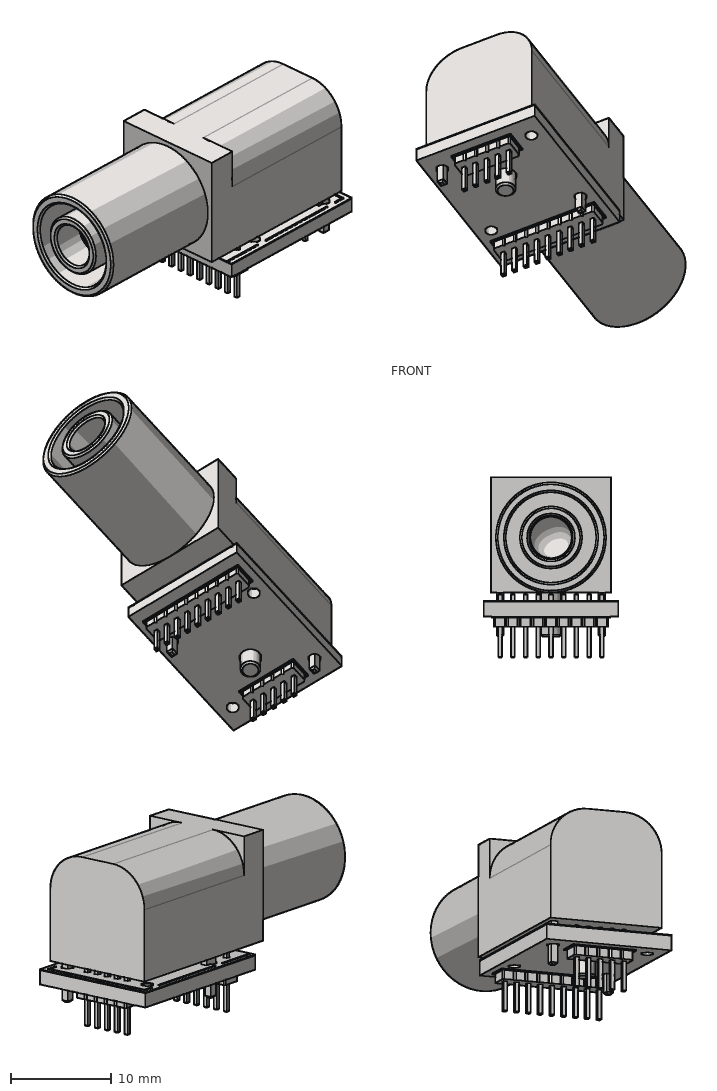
import cadquery as cq


block_width = 12.0
block_depth = 19.0
block_height = 11.5
board_gap = 0.8
flange_depth = 3.05
shoulder_radius = 4.0
block_top = board_gap + block_height
overall_height = 17.97

barrel_diameter = 11.0
barrel_length = 14.0
barrel_tip = -barrel_length
barrel_bore_diameter = 9.0
barrel_bore_depth = 10.1
edge_chamfer = 0.2
barrel_axis_z = board_gap + barrel_diameter / 2

sleeve_diameter = 6.2
sleeve_bore_diameter = 4.4
socket_diameter = 4.1
sleeve_bore_depth = 3.37

board_width = 13.45
board_depth = 17.6
board_thickness = 1.6
board_overhang = 0.75
board_rear = block_depth + board_overhang
board_front = board_rear - board_depth

film_thickness = 0.1
slot_width = 0.15
frame_half_width = 6.17
frame_rear = block_depth + slot_width
frame_gap = 1.15

outline_width = 0.2
outline_height = 0.1

leg_spacing = 10.15
leg_hole_diameter = 1.2
leg_width = 0.7
leg_depth = 0.8
leg_shoulder_depth = 1.5
leg_bottom = -3.6
tip_chamfer = 0.2
rear_leg_inset = 1.62
leg_rear_y = block_depth - rear_leg_inset
leg_front_y = leg_rear_y - leg_spacing
terminal_diameter = 2.0
terminal_hole_diameter = 2.2
terminal_y = 13.5

front_pin_count = 9
rear_pin_count = 5
pitch = leg_spacing / (front_pin_count - 1)
row_pitches = 10
row_spacing = row_pitches * pitch
rear_row_y = leg_rear_y
front_row_y = rear_row_y - row_spacing
pin_width = 0.4
pin_hole_diameter = 0.65
pin_tip_chamfer = 0.1
pin_top = 0.67
pin_bottom = block_top - overall_height
strip_width = 2.12
strip_height = 1.0
strip_chamfer = 0.17


def cylinder_along_y(diameter, front_y, length):
    plane = cq.Plane(origin=(0, front_y, barrel_axis_z), xDir=(1, 0, 0), normal=(0, -1, 0))
    return cq.Workplane(plane).circle(diameter / 2).extrude(-length)


def box_between(x_range, y_range, z_range):
    size = [high - low for low, high in (x_range, y_range, z_range)]
    corner = (x_range[0], y_range[0], z_range[0])
    return cq.Workplane("XY").box(*size, centered=False).translate(corner)


def vertical_cylinder(diameter, x, y, bottom, top):
    return cq.Workplane("XY", origin=(x, y, bottom)).circle(diameter / 2).extrude(top - bottom)


def make_leg(x, y, shoulder_direction):
    """Leg through the board, with a wider shoulder that rests on the board."""
    foot = cq.Workplane("XY", origin=(x, y, leg_bottom)).rect(leg_width, leg_depth).extrude(-leg_bottom)
    foot = foot.faces("<Z").chamfer(tip_chamfer)
    shoulder_y = y + shoulder_direction * (leg_shoulder_depth - leg_depth) / 2
    shoulder = cq.Workplane("XY", origin=(x, shoulder_y, 0)).rect(leg_width, leg_shoulder_depth)
    return foot.union(shoulder.extrude(board_gap))


def make_tube(outer_diameter, bore_diameter, tube_bore_depth):
    """Bored cylinder from the barrel tip to the block, with both rims of the tip chamfered."""
    tube = cylinder_along_y(outer_diameter, barrel_tip, barrel_length).faces("<Y").chamfer(edge_chamfer)
    tube = tube.cut(cylinder_along_y(bore_diameter, barrel_tip, tube_bore_depth))
    mouth_radius = bore_diameter / 2
    mouth = cq.Solid.makeCone(mouth_radius + edge_chamfer, mouth_radius, edge_chamfer,
                              cq.Vector(0, barrel_tip, barrel_axis_z), cq.Vector(0, 1, 0))
    return tube.cut(cq.Workplane(mouth))


def make_barrel():
    barrel = make_tube(barrel_diameter, barrel_bore_diameter, barrel_bore_depth)
    sleeve = make_tube(sleeve_diameter, sleeve_bore_diameter, sleeve_bore_depth)
    socket = cq.Workplane("XY").sphere(socket_diameter / 2).rotate((0, 0, 0), (1, 0, 0), 90)
    sleeve = sleeve.cut(socket.translate((0, barrel_tip + sleeve_bore_depth, barrel_axis_z)))
    return barrel.union(sleeve)


def make_housing():
    half = block_width / 2
    flange = box_between((-half, half), (0, flange_depth), (board_gap, block_top))
    rear = box_between((-half, half), (flange_depth, block_depth), (board_gap, block_top))
    rear = rear.edges("|Y and >Z").fillet(shoulder_radius)
    body = flange.union(rear).union(make_barrel())
    terminal = vertical_cylinder(terminal_diameter, 0, terminal_y, leg_bottom, board_gap)
    body = body.union(terminal.faces("<Z").chamfer(tip_chamfer))
    body = body.union(make_leg(-leg_spacing / 2, leg_front_y, 1))
    return body.union(make_leg(leg_spacing / 2, leg_rear_y, -1))


def row_positions(count, y):
    return [((i - (count - 1) / 2) * pitch, y) for i in range(count)]


def drill_board_holes(plate):
    holes = [(x, y, leg_hole_diameter) for x in (-leg_spacing / 2, leg_spacing / 2)
             for y in (leg_front_y, leg_rear_y)]
    holes.append((0, terminal_y, terminal_hole_diameter))
    for x, y in row_positions(front_pin_count, front_row_y) + row_positions(rear_pin_count, rear_row_y):
        holes.append((x, y, pin_hole_diameter))
    for x, y, diameter in holes:
        plate = plate.cut(vertical_cylinder(diameter, x, y, -board_thickness, 0))
    return plate


def make_board_plate(bottom, top):
    return box_between((-board_width / 2, board_width / 2), (board_front, board_rear), (bottom, top))


def make_header_outline(count, y):
    """Raised rectangular ring that fits around one header strip."""
    strip_length = count * pitch
    ring = cq.Workplane("XY", origin=(0, y, -board_thickness))
    ring = ring.rect(strip_length + 2 * outline_width, strip_width + 2 * outline_width)
    return ring.rect(strip_length, strip_width).extrude(-outline_height)


def make_board():
    board = drill_board_holes(make_board_plate(-board_thickness, -film_thickness))
    board = board.union(make_header_outline(front_pin_count, front_row_y))
    return board.union(make_header_outline(rear_pin_count, rear_row_y))


def make_film():
    film = drill_board_holes(make_board_plate(-film_thickness, 0))
    half = frame_half_width
    depth_range = (-film_thickness, 0)
    slots = box_between((-half, half), (frame_rear - slot_width, frame_rear), depth_range)
    for x in (-half, half - slot_width):
        slots = slots.union(box_between((x, x + slot_width), (board_front, frame_rear), depth_range))
    for y in (leg_front_y, leg_rear_y):
        bridge = box_between((-half, half), (y - frame_gap / 2, y + frame_gap / 2), depth_range)
        slots = slots.cut(bridge)
    return film.cut(slots)


def make_header(count, y):
    """Strip of octagonal insulator cells with one square pin each."""
    strip_bottom = -board_thickness - strip_height
    header = None
    for x, _ in row_positions(count, y):
        cell = cq.Workplane("XY", origin=(x, y, strip_bottom)).rect(pitch, strip_width).extrude(strip_height)
        cell = cell.edges("|Z").chamfer(strip_chamfer)
        pin = cq.Workplane("XY", origin=(x, y, pin_bottom)).rect(pin_width, pin_width)
        pin = pin.extrude(pin_top - pin_bottom).faces("<Z or >Z").chamfer(pin_tip_chamfer)
        cell = cell.union(pin)
        header = cell if header is None else header.union(cell)
    return header


housing = make_housing()
board = make_board()
film = make_film()
front_header = make_header(front_pin_count, front_row_y)
rear_header = make_header(rear_pin_count, rear_row_y)
result = cq.Compound.makeCompound([
    housing.val(),
    board.val(),
    film.val(),
    front_header.val(),
    rear_header.val(),
])